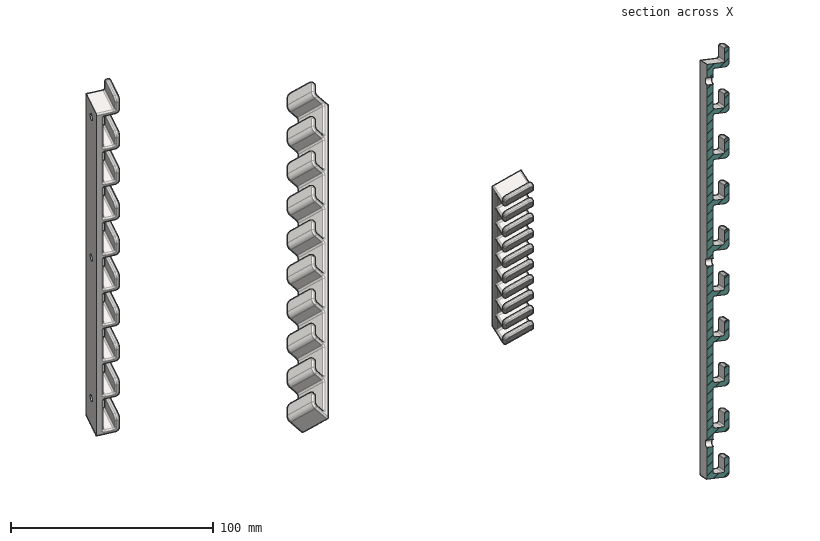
import cadquery as cq

width = 16.9
depth = 12.2
height = 222.0

plate_thickness = 3.5

hook_count = 10
hook_height = 10.5
strap_thickness = 2.7
bend_inner_radius = 0.9
bend_outer_radius = 2.7
tip_corner_radius = 2.7
hook_pitch = (height - hook_height) / (hook_count - 1)
hook_bases = [index * hook_pitch for index in range(hook_count)]

plate_height = height - hook_height + strap_thickness

root_radius = 0.9
edge_radius = 0.9

hole_diameter = 3.5
hole_count = 3
first_hole_height = 18.5
hole_spacing = 93.5

pick_distance = 0.02


def make_hook(base):
    """J-shaped strap: a shelf from the rear face and an upright lip, joined by a round bend."""
    lip_inner = depth - strap_thickness
    shelf_top = base + strap_thickness
    hook_top = base + hook_height
    return (
        cq.Workplane("YZ", origin=(-width / 2, 0, 0))
        .moveTo(0, base)
        .lineTo(depth - bend_outer_radius, base)
        .radiusArc((depth, base + bend_outer_radius), -bend_outer_radius)
        .lineTo(depth, hook_top)
        .lineTo(lip_inner, hook_top)
        .lineTo(lip_inner, shelf_top + bend_inner_radius)
        .radiusArc((lip_inner - bend_inner_radius, shelf_top), bend_inner_radius)
        .lineTo(0, shelf_top)
        .close()
        .extrude(width)
    )


def edges_at(solid, y, z, direction):
    """Edges along the given direction whose centres lie at the given Y and Z, at any X."""
    near_point = cq.selectors.BoxSelector(
        (-width, y - pick_distance, z - pick_distance),
        (width, y + pick_distance, z + pick_distance),
    )
    return solid.edges(near_point).edges(direction)


body = cq.Workplane("XY").box(width, plate_thickness, plate_height, centered=(True, False, False))
for base in hook_bases:
    body = body.union(make_hook(base))
body = body.clean()

for base in hook_bases[1:]:
    body = edges_at(body, plate_thickness, base, "|X").fillet(root_radius)
for base in hook_bases[:-1]:
    body = edges_at(body, plate_thickness, base + strap_thickness, "|X").fillet(root_radius)

lip_middle = depth - strap_thickness / 2
for base in hook_bases:
    body = edges_at(body, lip_middle, base + hook_height, "|Y").fillet(tip_corner_radius)

ahead_of_rear_face = cq.selectors.BoxSelector(
    (-width, pick_distance, -height),
    (width, 2 * depth, 2 * height),
)
body = body.faces("<X or >X").edges(ahead_of_rear_face).fillet(edge_radius)

for index in range(hole_count):
    hole = (
        cq.Workplane("XZ")
        .center(0, first_hole_height + index * hole_spacing)
        .circle(hole_diameter / 2)
        .extrude(-plate_thickness)
    )
    body = body.cut(hole)

result = body